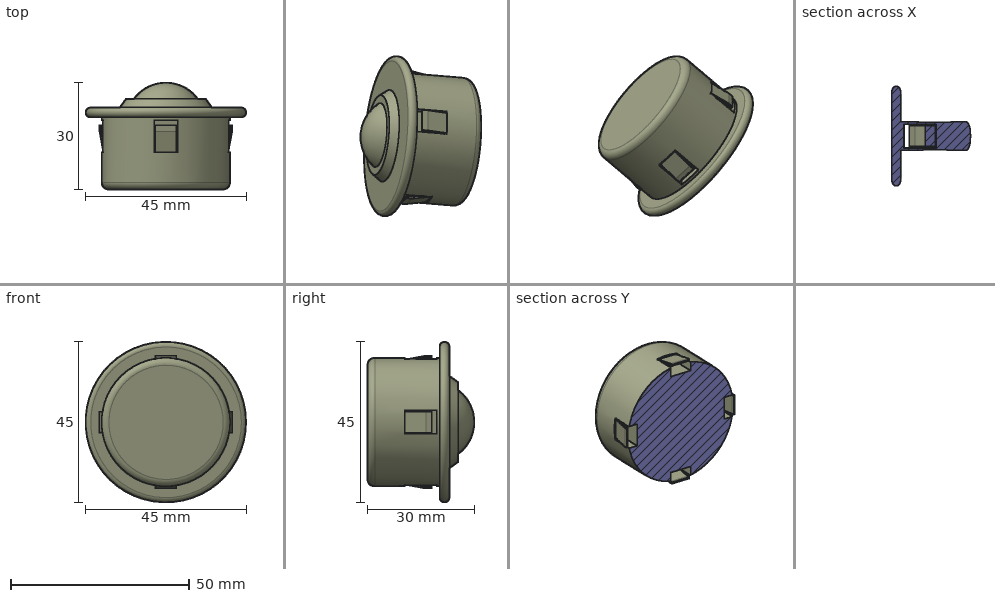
import cadquery as cq
import math


flange_diameter = 45.0
flange_thickness = 2.8

cup_diameter = 36.0
cup_depth = 20.2
cup_edge_radius = 2.0

ball_diameter = 22.2
ball_top = 9.8
collar_height = 2.4
collar_base_radius = 12.9
collar_top_radius = 11.2

clip_count = 4
window_width = 6.6
window_length = 8.9
window_offset = 0.8
window_depth = 3.0
clip_width = 5.9
clip_thickness = 0.55
clip_offset = 2.2
clip_lip_length = 1.6
clip_projection = 0.6
clip_angle = 10.5

cup_radius = cup_diameter / 2
window_start = -window_offset
window_end = window_start - window_length
window_floor = cup_radius - window_depth


def make_flange():
    """Disc with a fully rounded rim."""
    edge_radius = flange_thickness / 2
    flat_radius = flange_diameter / 2 - edge_radius
    profile = (
        cq.Workplane("XY")
        .lineTo(flat_radius, 0)
        .threePointArc((flange_diameter / 2, edge_radius), (flat_radius, flange_thickness))
        .lineTo(0, flange_thickness)
        .close()
    )
    return profile.revolve(360, (0, 0, 0), (0, 1, 0))


def make_cup():
    """Cylindrical housing with a rounded closed end."""
    cup = cq.Workplane("XZ").circle(cup_radius).extrude(cup_depth)
    return cup.faces("<Y").edges().fillet(cup_edge_radius)


def make_collar():
    """Tapered ring that holds the ball."""
    collar_top = flange_thickness + collar_height
    profile = cq.Workplane("XY").polyline([
        (0, 0),
        (collar_base_radius, 0),
        (collar_base_radius, flange_thickness),
        (collar_top_radius, collar_top),
        (0, collar_top),
    ]).close()
    return profile.revolve(360, (0, 0, 0), (0, 1, 0))


def make_ball():
    """Sphere whose lower part is buried in the housing."""
    ball_radius = ball_diameter / 2
    return cq.Workplane("XY").sphere(ball_radius).translate((0, ball_top - ball_radius, 0))


def make_window():
    """Cutter for the window on the +X side, reaching past the cup wall."""
    cutter_reach = 2 * window_depth
    return cq.Workplane("XY").box(
        cutter_reach, window_length, window_width, centered=(False, False, True)
    ).translate((window_floor, window_end, 0))


def make_clip():
    """Bent strip on the +X side, rooted in the cup at the far end of its window."""
    tip = -clip_offset
    bend = tip - clip_lip_length
    outer = cup_radius + clip_projection
    inner = outer - clip_thickness
    root_drop = (bend - window_end) * math.tan(math.radians(clip_angle))
    profile = cq.Workplane("XY").polyline([
        (outer, tip),
        (outer, bend),
        (outer - root_drop, window_end),
        (inner - root_drop, window_end),
        (inner, bend),
        (inner, tip),
    ]).close()
    return profile.extrude(clip_width / 2, both=True)


result = make_flange().union(make_cup()).union(make_collar()).union(make_ball())

for index in range(clip_count):
    turn = index * 360 / clip_count
    window = make_window().rotate((0, 0, 0), (0, 1, 0), turn)
    clip = make_clip().rotate((0, 0, 0), (0, 1, 0), turn)
    result = result.cut(window).union(clip)